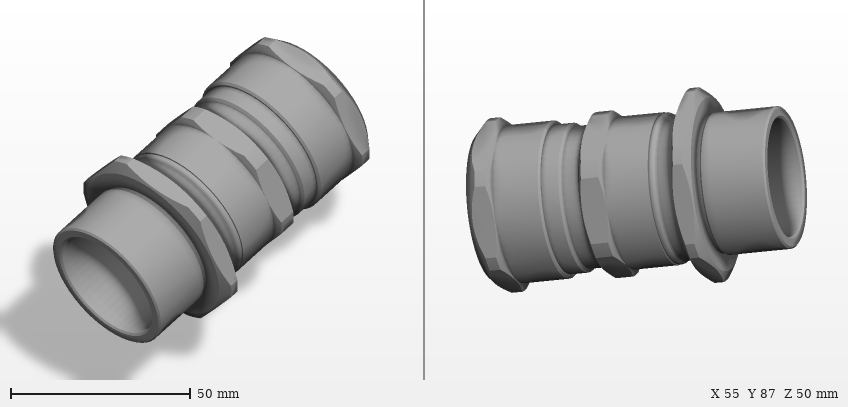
import cadquery as cq
import math

TOTAL_LENGTH = 87.0

thread_diameter = 40.0
undercut_diameter = 39.0
thread_chamfer = (thread_diameter - undercut_diameter) / 2
thread_end = 19.05

bore_diameter = 33.5
bore_depth = 18.6
bore_chamfer = 0.5

locknut_start = 20.1
locknut_end = 26.1
locknut_flats = 50.0
locknut_diameter = 55.0
locknut_face_diameter = 48.8
locknut_chamfer_length = 1.65

collar_diameter = 41.0
collar_chamfer = 0.5
collar_end = 31.2
seal_start = 31.7
seal_front_diameter = 41.5
seal_diameter = 42.6
seal_crest = 32.6
seal_rear_diameter = 42.0

body_diameter = 42.9
body_start = 33.7
body_hex_start = 46.55
body_hex_end = 54.5
body_hex_diameter = 46.8
body_hex_front_chamfer = 1.05
body_hex_rear_chamfer = 1.8

neck_diameter = 40.0
neck_end = 59.1
shoulder_diameter = 42.0
shoulder_chamfer = 0.9

cap_diameter = 44.4
cap_start = 65.0
cap_chamfer = 0.6
cap_hex_start = 78.9
cap_hex_flats = 44.8
cap_hex_diameter = 49.2
cap_front_chamfer = 1.3
cap_rear_chamfer = 3.65
cap_rear_diameter = 41.5


def revolve_profile(points):
    """Revolve (radius, y) points, closed along the axis, about Y."""
    return cq.Workplane("XY").polyline(points).close().revolve(360, (0, 0, 0), (0, 1, 0))


def cylinder(diameter, start, end):
    """Cylinder along Y from start to end."""
    radius = diameter / 2
    return revolve_profile([(0, start), (radius, start), (radius, end), (0, end)])


def chamfered_cylinder(
    diameter, start, end, front_diameter, front_length, rear_diameter=None, rear_length=0
):
    """Cylinder along Y with a cone at the front and, optionally, one at the rear."""
    radius = diameter / 2
    points = [
        (0, start),
        (front_diameter / 2, start),
        (radius, start + front_length),
        (radius, end - rear_length),
    ]
    if rear_diameter is not None:
        points.append((rear_diameter / 2, end))
    points.append((0, end))
    return revolve_profile(points)


def hexagon(flats, envelope, start, end):
    """Hexagon with horizontal top and bottom flats, its corners turned down to the envelope."""
    corners = flats / math.cos(math.radians(30))
    plane = cq.Workplane("XZ", origin=(0, start, 0))
    prism = plane.polygon(6, corners).extrude(start - end)
    return prism.intersect(envelope)


def threaded_end():
    """Thread chamfered at both ends, followed by the undercut."""
    thread = chamfered_cylinder(
        thread_diameter, 0, thread_end, undercut_diameter, thread_chamfer, undercut_diameter, thread_chamfer
    )
    return thread.union(cylinder(undercut_diameter, thread_end, locknut_start))


def locknut():
    """Thin hexagon chamfered equally on both faces."""
    envelope = chamfered_cylinder(
        locknut_diameter, locknut_start, locknut_end, locknut_face_diameter, locknut_chamfer_length,
        locknut_face_diameter, locknut_chamfer_length,
    )
    return hexagon(locknut_flats, envelope, locknut_start, locknut_end)


def collar_and_seal():
    """Chamfered collar flaring into a seal ring with a bulging arc profile."""
    front_diameter = collar_diameter - 2 * collar_chamfer
    collar = chamfered_cylinder(collar_diameter, locknut_end, collar_end, front_diameter, collar_chamfer)
    seal = (
        cq.Workplane("XY")
        .moveTo(0, collar_end)
        .lineTo(collar_diameter / 2, collar_end)
        .lineTo(seal_front_diameter / 2, seal_start)
        .threePointArc((seal_diameter / 2, seal_crest), (seal_rear_diameter / 2, body_start))
        .lineTo(0, body_start)
        .close()
        .revolve(360, (0, 0, 0), (0, 1, 0))
    )
    return collar.union(seal)


def body():
    """Plain cylinder running into a hexagon of the same width across flats."""
    barrel = cylinder(body_diameter, body_start, body_hex_start)
    envelope = chamfered_cylinder(
        body_hex_diameter, body_hex_start, body_hex_end, body_diameter, body_hex_front_chamfer,
        neck_diameter, body_hex_rear_chamfer,
    )
    return barrel.union(hexagon(body_diameter, envelope, body_hex_start, body_hex_end))


def neck_and_shoulder():
    """Narrow neck stepping up through a cone to the shoulder."""
    neck = cylinder(neck_diameter, body_hex_end, neck_end)
    shoulder = chamfered_cylinder(shoulder_diameter, neck_end, cap_start, neck_diameter, shoulder_chamfer)
    return neck.union(shoulder)


def cap_nut():
    """Chamfered skirt ending in a hexagon with a long rear cone."""
    skirt_front = cap_diameter - 2 * cap_chamfer
    skirt = chamfered_cylinder(cap_diameter, cap_start, cap_hex_start, skirt_front, cap_chamfer)
    envelope = chamfered_cylinder(
        cap_hex_diameter, cap_hex_start, TOTAL_LENGTH, cap_diameter, cap_front_chamfer,
        cap_rear_diameter, cap_rear_chamfer,
    )
    return skirt.union(hexagon(cap_hex_flats, envelope, cap_hex_start, TOTAL_LENGTH))


def bore():
    """Blind bore with a chamfered mouth."""
    mouth_diameter = bore_diameter + 2 * bore_chamfer
    mouth = revolve_profile(
        [(0, 0), (mouth_diameter / 2, 0), (bore_diameter / 2, bore_chamfer), (0, bore_chamfer)]
    )
    return mouth.union(cylinder(bore_diameter, 0, bore_depth))


result = threaded_end()
for section in (locknut(), collar_and_seal(), body(), neck_and_shoulder(), cap_nut()):
    result = result.union(section)
result = result.cut(bore())